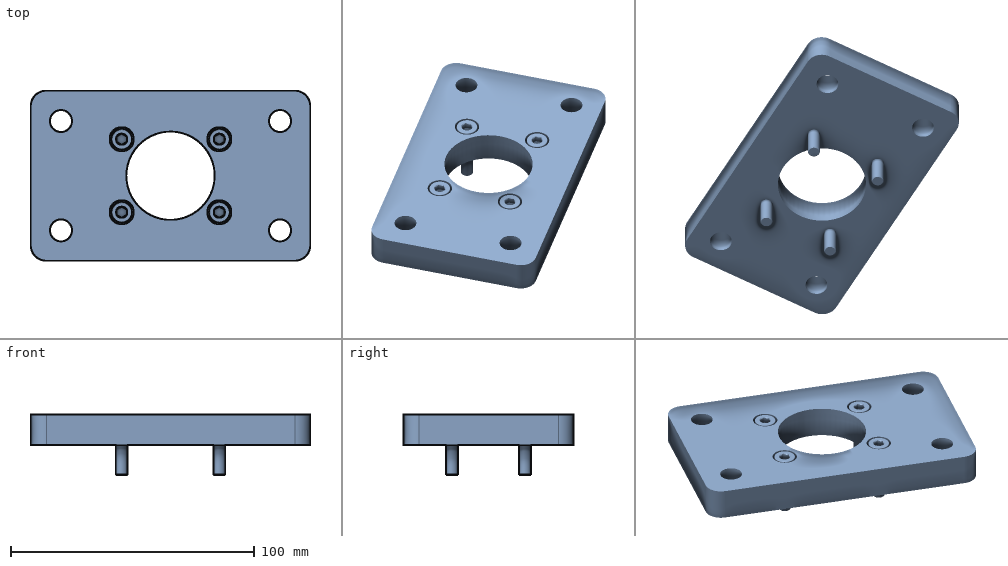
import cadquery as cq

plate_length = 115.0
plate_width = 70.0
plate_thickness = 12.6
corner_radius = 6.4
center_bore_diameter = 36.2

mount_hole_diameter = 9.0
mount_spacing_x = 90.0
mount_spacing_y = 45.0

screw_spacing_x = 40.1
screw_spacing_y = 30.0
shank_diameter = 5.0
head_diameter = 8.5
head_height = shank_diameter
head_edge_fillet = 0.2
overall_height = 25.0
shank_length = overall_height - head_height
tip_chamfer = 0.3
socket_across_flats = 4.0
socket_depth = 2.5
socket_mouth_diameter = 4.7

clearance_diameter = 5.3
counterbore_diameter = 10.0
counterbore_depth = head_height

HEX_CORNERS_PER_FLATS = 2 / 3**0.5
HEX_TURN = 30


def rectangle_corners(spacing_x, spacing_y):
    """Four points at the corners of a rectangle centered on the origin."""
    return [(sx * spacing_x / 2, sy * spacing_y / 2) for sx in (-1, 1) for sy in (-1, 1)]


screw_positions = rectangle_corners(screw_spacing_x, screw_spacing_y)
mount_positions = rectangle_corners(mount_spacing_x, mount_spacing_y)


def make_plate():
    """Rounded plate with center bore, mounting holes and counterbored screw holes."""
    blank = (
        cq.Workplane("XY")
        .rect(plate_length, plate_width)
        .extrude(-plate_thickness)
        .edges("|Z")
        .fillet(corner_radius)
    )
    bored = blank.faces(">Z").workplane(origin=(0, 0, 0)).hole(center_bore_diameter)
    drilled = (
        bored.faces(">Z").workplane(origin=(0, 0, 0))
        .pushPoints(mount_positions)
        .hole(mount_hole_diameter)
    )
    return (
        drilled.faces(">Z").workplane(origin=(0, 0, 0))
        .pushPoints(screw_positions)
        .cboreHole(clearance_diameter, counterbore_diameter, counterbore_depth)
    )


def make_screw(x, y):
    """Socket head screw pointing down, with the top of its head at Z = 0."""
    head = (
        cq.Workplane("XY")
        .circle(head_diameter / 2)
        .extrude(-head_height)
        .faces(">Z").edges()
        .fillet(head_edge_fillet)
    )
    shank = (
        cq.Workplane("XY", origin=(0, 0, -head_height))
        .circle(shank_diameter / 2)
        .extrude(-shank_length)
        .faces("<Z").edges()
        .chamfer(tip_chamfer)
    )
    socket = (
        cq.Workplane("XY")
        .transformed(rotate=(0, 0, HEX_TURN))
        .polygon(6, socket_across_flats * HEX_CORNERS_PER_FLATS)
        .extrude(-socket_depth)
    )
    mouth_radius = socket_mouth_diameter / 2
    mouth = cq.Workplane(cq.Solid.makeCone(mouth_radius, 0, mouth_radius, dir=cq.Vector(0, 0, -1)))
    return head.union(shank).cut(socket).cut(mouth).translate((x, y, 0))


plate = make_plate()
screws = [make_screw(x, y).val() for x, y in screw_positions]

result = cq.Compound.makeCompound([plate.val(), *screws])